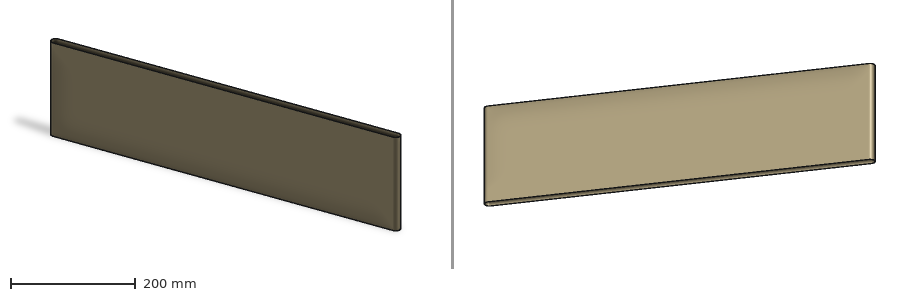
import cadquery as cq

length = 647.0
thickness = 17.0
height = 170.0
wall = 1.0

outer = cq.Workplane("XY").slot2D(length, thickness).extrude(height)
bore = cq.Workplane("XY").slot2D(length - 2 * wall, thickness - 2 * wall).extrude(height)

result = outer.cut(bore)